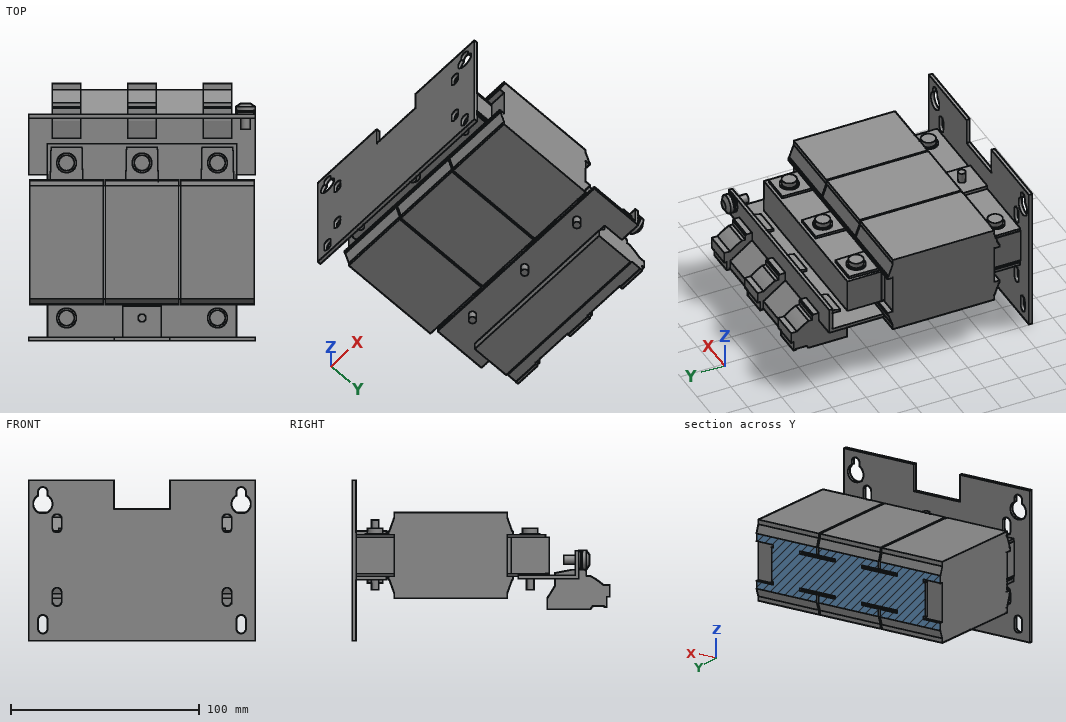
import cadquery as cq


total_depth = 136.3
sheet = 2.0
full_width = 120
pitch = 40.0
station_xs = (-pitch, 0, pitch)

plate_height = 85.0
plate_top = 39.8
notch_width = 29.6
notch_depth = 15.1
slot_width = 4.9
slot_length = 9.7
outer_hole_x = 52.5
inner_slot_x = 45
inner_slot_zs = (17.0, -22.0)
outer_slot_z = -36.4
keyhole_radius = 5.0
keyhole_z = 27.3
keyhole_neck_z = 33.7

core_width = 100.0
core_half_height = 9.7
yoke_depth = 20.2
core_back = 104.3
side_inset = 0.3
clamp_half_height = 11.0
front_yoke_back = sheet + yoke_depth
rear_yoke_front = core_back - yoke_depth
front_bolt_y = sheet + yoke_depth / 2
rear_bolt_y = core_back - yoke_depth / 2

coil_width = 39.0
coil_half_height = 22.8
coil_front = front_yoke_back
coil_back = 82.0
flange_reach = 3.1
flange_slope = 2.6
flange_root_z = 20.2
flange_slope_end_z = 13.0
flange_tip_z = 12.4

tongue_end_y = 102.4
tongue_end_width = 16.4
tongue_root_width = 17.3

tab_end_y = 18.3
tab_outer_z = 13.0
upper_tab_width = 20.5

bolt_radius = 2.0
bolt_bottom = -18.3
stud_top = 18.8
head_radius = 4.1
head_top = 14.5
washer_radius = 5.2
washer_thickness = 0.5
nut_bottom = -14.6

bracket_front = 87.8
bracket_back = 120
bracket_bottom = -12.4
bracket_top = 2.6

block_width = 15.3
block_front = 103.2
block_neck_y = 107.3
block_neck_z = -16.1
block_front_z = -22.6
block_bottom = -28.5
base_back = 126.1
rail_back = 132.9
rail_top_z = -22.0
recess_front = 127.3
recess_z = -26.9
foot_back = 134.8
foot_bottom = -27.4
foot_front = 133.3
lip_top = -15.5
slope_middle = (128.5, -12.3)
shoulder_front = 123.9
shoulder_z = -10.8
shoulder_back = 126.0
head_top_z = -7.5
head_chamfer = 0.7
head_wedge_y = 116.3
head_wedge_z = -9.3

screw_x = 54.8
screw_z = -2.3
screw_radius = 2.5
screw_tip_y = 111.9
screw_washer_radius = 5.2
spring_washer_radius = 4.2
screw_washer_thickness = 1.0
screw_head_side = 2.0
screw_dome_height = 1.8
screw_dome_top_radius = 2.6


def box(x0, x1, y0, y1, z0, z1):
    return cq.Workplane("XY").box(x1 - x0, y1 - y0, z1 - z0, centered=False).translate((x0, y0, z0))


def centered_box(width, y0, y1, z0, z1):
    return box(-width / 2, width / 2, y0, y1, z0, z1)


def upright_cylinder(x, y, radius, z0, z1):
    return cq.Workplane("XY", origin=(x, y, z0)).circle(radius).extrude(z1 - z0)


def extrude_profile(profile, center_x, width):
    """Extrude a closed YZ profile along X, centred on center_x."""
    return profile.extrude(width / 2, both=True).translate((center_x, 0, 0))


def plate_cutter(x, z):
    """Sketch plane on the plate's free face, where negative extrusion goes into the plate."""
    return cq.Workplane("XZ", origin=(x, 0, z))


def mounting_plate():
    plate = centered_box(full_width, 0, sheet, plate_top - plate_height, plate_top)
    plate = plate.cut(centered_box(notch_width, 0, sheet, plate_top - notch_depth, plate_top))
    for side in (-1, 1):
        slots = [(inner_slot_x, z) for z in inner_slot_zs] + [(outer_hole_x, outer_slot_z)]
        for x, z in slots:
            plate = plate.cut(plate_cutter(side * x, z).slot2D(slot_length, slot_width, 90).extrude(-sheet))
        x = side * outer_hole_x
        plate = plate.cut(plate_cutter(x, keyhole_z).circle(keyhole_radius).extrude(-sheet))
        plate = plate.cut(plate_cutter(x, keyhole_neck_z).circle(slot_width / 2).extrude(-sheet))
        neck_length = keyhole_neck_z - keyhole_z
        neck = plate_cutter(x, keyhole_z + neck_length / 2).rect(slot_width, neck_length).extrude(-sheet)
        plate = plate.cut(neck)
    return plate


def core():
    inset_width = core_width - 2 * side_inset
    front_yoke = centered_box(core_width, sheet, front_yoke_back, -core_half_height, core_half_height)
    front_clamps = centered_box(inset_width, sheet, front_yoke_back, -clamp_half_height, clamp_half_height)
    rear_yoke = centered_box(core_width, rear_yoke_front, core_back, -core_half_height, core_half_height)
    spacer = centered_box(inset_width, coil_back, rear_yoke_front, -core_half_height, core_half_height)
    return front_yoke.union(front_clamps).union(rear_yoke).union(spacer)


def coil(x):
    tip_front = coil_front - flange_reach
    tip_back = coil_back + flange_reach
    upper = [
        (coil_front, clamp_half_height),
        (tip_front, clamp_half_height),
        (tip_front, flange_tip_z),
        (coil_front - flange_slope, flange_slope_end_z),
        (coil_front, flange_root_z),
        (coil_front, coil_half_height),
        (coil_back, coil_half_height),
        (coil_back, flange_root_z),
        (coil_back + flange_slope, flange_slope_end_z),
        (tip_back, flange_tip_z),
        (tip_back, clamp_half_height),
        (coil_back, clamp_half_height),
    ]
    lower = [(y, -z) for y, z in reversed(upper)]
    return extrude_profile(cq.Workplane("YZ").polyline(upper + lower).close(), x, coil_width)


def clamping_tongues(x):
    outline = [
        (x - tongue_root_width / 2, coil_back),
        (x + tongue_root_width / 2, coil_back),
        (x + tongue_end_width / 2, tongue_end_y),
        (x - tongue_end_width / 2, tongue_end_y),
    ]
    thickness = clamp_half_height - core_half_height
    tongues = cq.Workplane("XY")
    for z in (core_half_height, -clamp_half_height):
        tongue = cq.Workplane("XY", origin=(0, 0, z)).polyline(outline).close().extrude(thickness)
        tongues = tongues.union(tongue)
    return tongues


def fixing_tabs():
    upper = centered_box(upper_tab_width, sheet, tab_end_y, clamp_half_height, tab_outer_z)
    lower_width = core_width - 4 * side_inset
    lower = centered_box(lower_width, sheet, tab_end_y, -tab_outer_z, -clamp_half_height)
    return upper.union(lower)


def core_bolt(x, y):
    shank = upright_cylinder(x, y, bolt_radius, bolt_bottom, clamp_half_height)
    washer = upright_cylinder(x, y, washer_radius, clamp_half_height, clamp_half_height + washer_thickness)
    head = upright_cylinder(x, y, head_radius, clamp_half_height, head_top)
    return shank.union(washer).union(head)


def middle_stud():
    stud = upright_cylinder(0, front_bolt_y, bolt_radius, bolt_bottom, stud_top)
    return stud.union(upright_cylinder(0, front_bolt_y, head_radius, nut_bottom, -tab_outer_z))


def bracket():
    shelf = centered_box(full_width, bracket_front, bracket_back, bracket_bottom, bracket_bottom + sheet)
    wall = centered_box(full_width, bracket_back - sheet, bracket_back, bracket_bottom, bracket_top)
    return shelf.union(wall)


underside = [
    (block_neck_y, block_neck_z),
    (block_front, block_front_z),
    (block_front, block_bottom),
    (base_back, block_bottom),
    (recess_front, recess_z),
]


def terminal_block(x):
    foot_and_lip = [
        (foot_front, recess_z),
        (foot_front, foot_bottom),
        (foot_back, foot_bottom),
        (foot_back, rail_top_z),
        (total_depth, rail_top_z),
        (total_depth, lip_top),
        (rail_back, lip_top),
    ]
    shoulder_and_head = [
        (shoulder_front, shoulder_z),
        (shoulder_front, head_top_z - head_chamfer),
        (shoulder_front - head_chamfer, head_top_z),
        (head_wedge_y, head_top_z),
    ]
    profile = (
        cq.Workplane("YZ")
        .moveTo(block_neck_y, head_wedge_z)
        .polyline(underside + foot_and_lip, includeCurrent=True)
        .threePointArc(slope_middle, (shoulder_back, shoulder_z))
        .polyline(shoulder_and_head, includeCurrent=True)
        .close()
    )
    return extrude_profile(profile, x, block_width)


def terminal_rail():
    upper_side = [
        (rail_back, recess_z),
        (rail_back, rail_top_z),
        (bracket_back, bracket_bottom),
        (block_neck_y, bracket_bottom),
    ]
    outline = underside + upper_side
    return extrude_profile(cq.Workplane("YZ").polyline(outline).close(), 0, 2 * pitch)


def earth_screw():
    spring_y = bracket_back + screw_washer_thickness
    head_y = spring_y + screw_washer_thickness
    dome_y = head_y + screw_head_side
    top_y = dome_y + screw_dome_height
    half_profile = [
        (0, screw_tip_y),
        (screw_radius, screw_tip_y),
        (screw_radius, bracket_back),
        (screw_washer_radius, bracket_back),
        (screw_washer_radius, spring_y),
        (spring_washer_radius, spring_y),
        (spring_washer_radius, head_y),
        (screw_washer_radius, head_y),
        (screw_washer_radius, dome_y),
        (screw_dome_top_radius, top_y),
        (0, top_y),
    ]
    screw = cq.Workplane("XY").polyline(half_profile).close().revolve(360, (0, 0), (0, 1))
    return screw.translate((screw_x, 0, screw_z))


result = mounting_plate().union(core()).union(fixing_tabs()).union(bracket()).union(terminal_rail())
for station_x in station_xs:
    result = result.union(coil(station_x)).union(clamping_tongues(station_x))
    result = result.union(core_bolt(station_x, rear_bolt_y)).union(terminal_block(station_x))
for bolt_x in (-pitch, pitch):
    result = result.union(core_bolt(bolt_x, front_bolt_y))
result = result.union(middle_stud()).union(earth_screw())